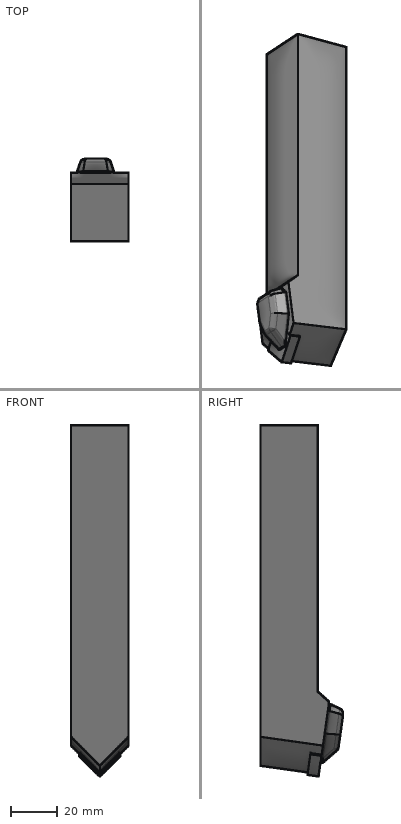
import cadquery as cq
import math

SHANK_WIDTH = 24.8
TOTAL_HEIGHT = 151.4
SHOULDER_BOTTOM_Z = 32.2
SHOULDER_TOP_Z = 36.6

RAKE_ANGLE = 8.0
TIP_Y = 25.1
RAKE_SIN = math.sin(math.radians(RAKE_ANGLE))
RAKE_COS = math.cos(math.radians(RAKE_ANGLE))
RAKE_TAN = RAKE_SIN / RAKE_COS

INSERT_SIDE = 12.7
INSERT_THICKNESS = 4.8
INSERT_HALF_DIAGONAL = INSERT_SIDE / math.sqrt(2)

POINT_SETBACK = 1.0

CLAMP_OFFSET = 1.8
CLAMP_HEIGHT = 6.8
CLAMP_DRAFT = 18.0
CLAMP_FILLET = 2.7
CLAMP_FOOT = 0.8
CLAMP_TOP = 31.6
CLAMP_TOP_HALF_WIDTH = 5.3
CLAMP_SIDE_TOP = 28.6
CLAMP_SIDE_BOTTOM = 18.8
CLAMP_HALF_WIDTH = 8.0
CLAMP_NOSE_END = 5.9
CLAMP_NOSE_END_HALF_WIDTH = 2.4
NOSE_SLOPE_TOP = 12.9

RAKE_PLANE = cq.Plane(
    origin=(0, TIP_Y, 0), xDir=(-1, 0, 0), normal=(0, RAKE_COS, -RAKE_SIN)
)


def make_insert():
    return (
        cq.Workplane(RAKE_PLANE)
        .center(0, INSERT_HALF_DIAGONAL)
        .transformed(rotate=(0, 0, 45))
        .rect(INSERT_SIDE, INSERT_SIDE)
        .extrude(-INSERT_THICKNESS)
    )


def make_shank():
    shoulder_y = TIP_Y + SHOULDER_BOTTOM_Z * RAKE_TAN
    profile = [
        (0, 0),
        (TIP_Y, 0),
        (shoulder_y, SHOULDER_BOTTOM_Z),
        (SHANK_WIDTH, SHOULDER_TOP_Z),
        (SHANK_WIDTH, TOTAL_HEIGHT),
        (0, TOTAL_HEIGHT),
    ]
    return cq.Workplane("YZ").polyline(profile).close().extrude(SHANK_WIDTH / 2, both=True)


def make_point_envelope():
    """Prism square to the rake face whose lower end is a right-angled point."""
    half_width = SHANK_WIDTH
    depth = 2 * SHANK_WIDTH
    outline = [
        (0, POINT_SETBACK),
        (half_width, POINT_SETBACK + half_width),
        (half_width, 2 * TOTAL_HEIGHT),
        (-half_width, 2 * TOTAL_HEIGHT),
        (-half_width, POINT_SETBACK + half_width),
    ]
    return cq.Workplane(RAKE_PLANE).polyline(outline).close().extrude(depth, both=True)


def make_clamp():
    """Drafted finger with its nose sloped down to the insert."""
    right_half = [
        (CLAMP_NOSE_END_HALF_WIDTH, CLAMP_NOSE_END),
        (CLAMP_HALF_WIDTH, CLAMP_SIDE_BOTTOM),
        (CLAMP_HALF_WIDTH, CLAMP_SIDE_TOP),
        (CLAMP_TOP_HALF_WIDTH, CLAMP_TOP),
    ]
    left_half = [(-x, y) for x, y in reversed(right_half)]
    outline = right_half + left_half
    base = cq.Workplane(RAKE_PLANE).center(CLAMP_OFFSET, 0)
    foot = base.polyline(outline).close().extrude(CLAMP_FOOT)
    drafted = (
        base.workplane(offset=CLAMP_FOOT)
        .polyline(outline)
        .close()
        .extrude(CLAMP_HEIGHT - CLAMP_FOOT, taper=CLAMP_DRAFT)
    )
    clamp = foot.union(drafted)
    return round_clamp(clamp.cut(make_nose_waste()))


def make_nose_waste():
    """Wedge that leaves the nose sloping from the foot to the outer face."""
    section_plane = cq.Plane(
        origin=(0, TIP_Y, 0), xDir=(0, RAKE_SIN, RAKE_COS), normal=(-1, 0, 0)
    )
    slope_section = [
        (CLAMP_NOSE_END, CLAMP_FOOT),
        (NOSE_SLOPE_TOP, CLAMP_HEIGHT),
        (CLAMP_NOSE_END, CLAMP_HEIGHT),
    ]
    return (
        cq.Workplane(section_plane)
        .polyline(slope_section)
        .close()
        .extrude(SHANK_WIDTH, both=True)
    )


def round_clamp(clamp):
    """Fillet the rim of the outer face and the two side edges of the nose slope."""
    slope_rise = CLAMP_HEIGHT - CLAMP_FOOT
    slope_run = NOSE_SLOPE_TOP - CLAMP_NOSE_END
    slope_normal = RAKE_PLANE.toWorldCoords((0, -slope_rise, slope_run)) - RAKE_PLANE.origin
    across = cq.selectors.ParallelDirSelector(RAKE_PLANE.xDir)
    slope_face = clamp.faces(cq.selectors.DirectionMinMaxSelector(slope_normal, True))
    outer_face = clamp.faces(cq.selectors.DirectionMinMaxSelector(RAKE_PLANE.zDir, True))
    slope_sides = slope_face.edges(cq.selectors.InverseSelector(across))
    return outer_face.edges().add(slope_sides).fillet(CLAMP_FILLET)


def make_holder(insert):
    return make_shank().intersect(make_point_envelope()).cut(insert).union(make_clamp())


insert = make_insert()
holder = make_holder(insert)

result = cq.Compound.makeCompound([holder.val(), insert.val()])